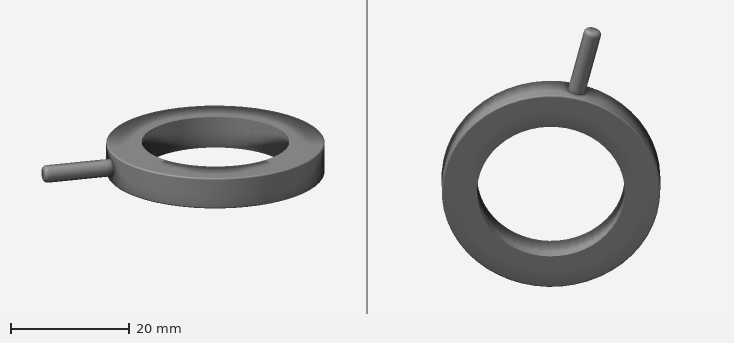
import cadquery as cq

ring_diameter = 37.0
bore_diameter = 25.0
ring_height = 5.5
ring_edge_fillet = 0.3

overall_length = 49.0
rod_diameter = 3.0
rod_tip_fillet = 0.75

ring_radius = ring_diameter / 2
bore_radius = bore_diameter / 2
rod_tip_reach = overall_length - ring_radius
rod_root_reach = (ring_radius + bore_radius) / 2


def make_ring():
    """Flat ring with rounded outer edges and a sharp-edged bore."""
    disc = cq.Workplane("XY").cylinder(ring_height, ring_radius)
    rounded_disc = disc.faces("<Z or >Z").edges().fillet(ring_edge_fillet)
    bore = cq.Workplane("XY").cylinder(ring_height, bore_radius)
    return rounded_disc.cut(bore)


def make_rod():
    """Round rod from inside the ring wall out to its rounded tip."""
    rod = (
        cq.Workplane("XZ", origin=(0, -rod_root_reach, 0))
        .circle(rod_diameter / 2)
        .extrude(rod_tip_reach - rod_root_reach)
    )
    return rod.faces("<Y").edges().fillet(rod_tip_fillet)


result = make_ring().union(make_rod())